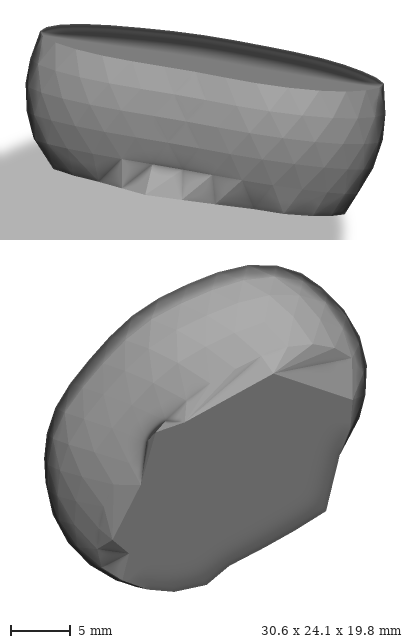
import cadquery as cq
import math


LEAN = 29.0
TOP_HEIGHT = 5.85
TOP_SLOPE = 0.015
BOTTOM_HEIGHT = -5.45
BOTTOM_SLOPE = -0.029

HALF_WIDTH = 48.0
HALF_DEPTH = 33.3
WIDTH_BULGE = 2.0
DEPTH_BULGE = 3.0
BULGE_HEIGHT = 2.15
BULGE_REACH = TOP_HEIGHT - BULGE_HEIGHT

RING_POINTS = 30
WALL_BANDS = 4
SKIRT_HEIGHT = -3.45
SKIRT_SLOPE = -0.08

TOP_OUTLINE = [
    (14.7, -1.07), (14.2, 2.08), (11.95, 5.38), (6.85, 9.22), (1.62, 10.3), (-5.1, 10.0), (-7.95, 8.7),
    (-13.07, 4.65), (-14.63, 0.6), (-13.4, -5.68), (-8.12, -9.65), (-5.1, -10.1), (0.8, -9.77),
    (6.35, -10.05), (12.37, -7.18),
]

BOTTOM_OUTLINE = [
    (12.9, 0.45), (10.5, 2.1), (10.17, 4.67), (4.6, 6.87), (-0.15, 10.0), (-2.23, 8.37), (-10.0, 4.92),
    (-11.45, -4.0), (-9.1, -6.2), (-6.57, -7.5), (-4.1, -9.25), (-1.6, -11.02), (1.35, -10.0),
    (3.97, -8.85), (7.0, -7.4), (9.5, -7.05), (11.48, -4.9), (12.45, -2.5),
]


def place(x, v, height, slope):
    """Point of the leaning frame, on the plane h = height + slope * v."""
    h = height + slope * v
    lean = math.radians(LEAN)
    y = v * math.cos(lean) + h * math.sin(lean)
    z = h * math.cos(lean) - v * math.sin(lean)
    return cq.Vector(x, y, z)


def corner(x, v, height, slope):
    """Facet corner: its angle around the barrel and its position."""
    return math.atan2(v, x), place(x, v, height, slope)


def wall_ring(outline, height, shift):
    """Evenly spaced corners around the wall, shifted by a fraction of one facet.

    The outline swells along a parabola that peaks at BULGE_HEIGHT and is zero at the top face.
    """
    rise = (height - SKIRT_HEIGHT) / (TOP_HEIGHT - SKIRT_HEIGHT)
    slope = SKIRT_SLOPE + rise * (TOP_SLOPE - SKIRT_SLOPE)
    ring = []
    for i in range(RING_POINTS):
        point = outline.positionAt((i + shift) / RING_POINTS)
        swell = 1 - ((height + slope * point.y - BULGE_HEIGHT) / BULGE_REACH) ** 2
        x = point.x * (1 + swell * WIDTH_BULGE / HALF_WIDTH)
        v = point.y * (1 + swell * DEPTH_BULGE / HALF_DEPTH)
        ring.append(corner(x, v, height, slope))
    return sorted(ring, key=lambda item: item[0])


def flat_face(points):
    """Planar face bounded by straight edges through the points."""
    return cq.Face.makeFromWires(cq.Wire.makePolygon(points, close=True))


def facet_band(lower, upper):
    """Triangles that join two rings, taking the corners in order of angle."""
    low = lower[-1][1]
    high = upper[-1][1]
    corners = [(angle, True, point) for angle, point in lower]
    corners += [(angle, False, point) for angle, point in upper]
    facets = []
    for _, is_lower, point in sorted(corners, key=lambda item: item[0]):
        facets.append(flat_face([low, point, high]))
        if is_lower:
            low = point
        else:
            high = point
    return facets


top_curve = cq.Edge.makeSpline([cq.Vector(x, v, 0) for x, v in TOP_OUTLINE], periodic=True)
bottom_ring = [corner(x, v, BOTTOM_HEIGHT, BOTTOM_SLOPE) for x, v in BOTTOM_OUTLINE]
rings = [sorted(bottom_ring, key=lambda item: item[0])]
band_height = (TOP_HEIGHT - SKIRT_HEIGHT) / WALL_BANDS
for level in range(WALL_BANDS + 1):
    rings.append(wall_ring(top_curve, SKIRT_HEIGHT + level * band_height, 0.5 * (level % 2)))

faces = [flat_face([point for _, point in ring]) for ring in (rings[0], rings[-1])]
for lower_ring, upper_ring in zip(rings, rings[1:]):
    faces += facet_band(lower_ring, upper_ring)

result = cq.Workplane("XY").newObject([cq.Solid.makeSolid(cq.Shell.makeShell(faces))])